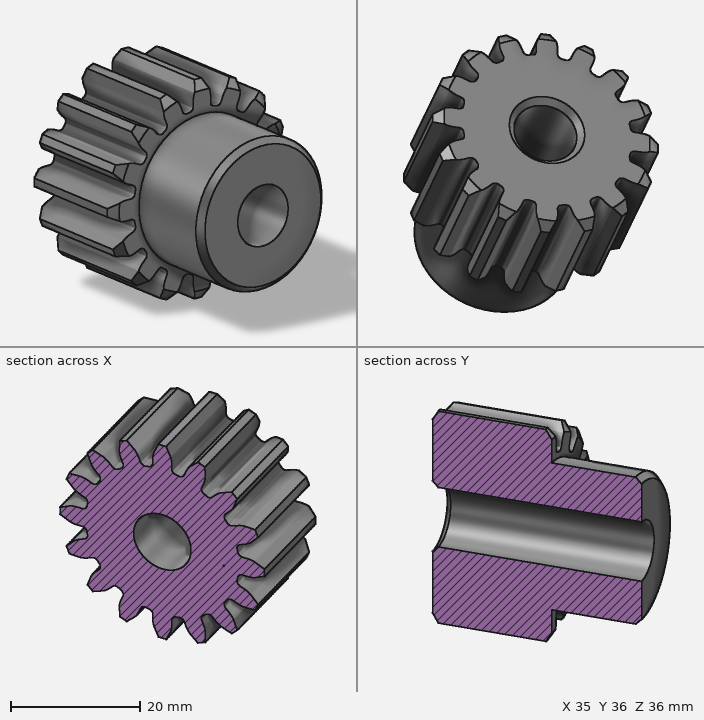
import cadquery as cq
import math


module = 2.0
tooth_count = 16
gear_width = 20.0
pitch_radius = module * tooth_count / 2
tip_radius = pitch_radius + module
dedendum = 1.25 * module
root_radius = pitch_radius - dedendum
tooth_pitch_angle = 2 * math.pi / tooth_count

tip_half_width = 0.69
shoulder_half_width = 1.5
shoulder_height = 16.25
base_half_width = 1.71
base_height = 15.0
root_fillet_radius = 0.8

bevel_length = 1.0
bevel_depth = 1.6

hub_radius = 12.5
hub_length = 15.0
hub_chamfer = 1.0

bore_radius = 5.0
bore_chamfer = 1.0

total_length = gear_width + hub_length


def place(point, tooth_angle):
    """Turn a (sideways, outward) tooth point into its position around the gear."""
    sideways, outward = point
    return (
        sideways * math.cos(tooth_angle) + outward * math.sin(tooth_angle),
        outward * math.cos(tooth_angle) - sideways * math.sin(tooth_angle),
    )


def mirrored(point):
    return (-point[0], point[1])


def on_circle(radius, angle):
    """Point at an angle measured clockwise from straight outward."""
    return (radius * math.sin(angle), radius * math.cos(angle))


tip_corner = (tip_half_width, math.sqrt(tip_radius**2 - tip_half_width**2))
tip_middle = (0, tip_radius)
shoulder = (shoulder_half_width, shoulder_height)
base = (base_half_width, base_height)

flank_run = base_half_width - shoulder_half_width
flank_rise = shoulder_height - base_height
flank_radius = (flank_run**2 + flank_rise**2) / (2 * flank_run)
flank_half_sweep = math.asin(flank_rise / flank_radius) / 2
flank_middle = (
    base_half_width - flank_radius * (1 - math.cos(flank_half_sweep)),
    base_height + flank_radius * math.sin(flank_half_sweep),
)

fillet_centre_x = base_half_width + root_fillet_radius
fillet_angle = math.asin(fillet_centre_x / (root_radius + root_fillet_radius))
fillet_centre_y = (root_radius + root_fillet_radius) * math.cos(fillet_angle)
fillet_half_sweep = (math.pi / 2 - fillet_angle) / 2
fillet_start = (base_half_width, fillet_centre_y)
fillet_middle = (
    fillet_centre_x - root_fillet_radius * math.cos(fillet_half_sweep),
    fillet_centre_y - root_fillet_radius * math.sin(fillet_half_sweep),
)
root_start = on_circle(root_radius, fillet_angle)
root_middle = on_circle(root_radius, tooth_pitch_angle / 2)


def make_toothed_blank():
    outline = cq.Workplane("YZ").moveTo(*mirrored(root_start))
    for tooth in range(tooth_count):
        angle = tooth * tooth_pitch_angle

        def at(point):
            return place(point, angle)

        outline = outline.threePointArc(at(mirrored(fillet_middle)), at(mirrored(fillet_start)))
        outline = outline.lineTo(*at(mirrored(base)))
        outline = outline.threePointArc(at(mirrored(flank_middle)), at(mirrored(shoulder)))
        outline = outline.lineTo(*at(mirrored(tip_corner)))
        outline = outline.threePointArc(at(tip_middle), at(tip_corner))
        outline = outline.lineTo(*at(shoulder))
        outline = outline.threePointArc(at(flank_middle), at(base))
        outline = outline.lineTo(*at(fillet_start))
        outline = outline.threePointArc(at(fillet_middle), at(root_start))

        next_root = place(mirrored(root_start), angle + tooth_pitch_angle)
        outline = outline.threePointArc(at(root_middle), next_root)
    return outline.close().extrude(gear_width)


def make_bevel_envelope():
    """Disc with both rims bevelled; it trims the ends of the teeth."""
    clearance = 1.0
    rim_radius = tip_radius + clearance
    rim_inset = bevel_length * (1 + clearance / bevel_depth)
    profile = [
        (0, 0),
        (0, tip_radius - bevel_depth),
        (rim_inset, rim_radius),
        (gear_width - rim_inset, rim_radius),
        (gear_width, tip_radius - bevel_depth),
        (gear_width, 0),
    ]
    return cq.Workplane("XY").polyline(profile).close().revolve(360, (0, 0, 0), (1, 0, 0))


def make_hub():
    hub = cq.Workplane("YZ").workplane(offset=gear_width).circle(hub_radius).extrude(hub_length)
    return hub.faces(">X").chamfer(hub_chamfer)


def make_bore():
    """Through hole, countersunk at the toothed end."""
    profile = [
        (0, 0),
        (0, bore_radius + bore_chamfer),
        (bore_chamfer, bore_radius),
        (total_length, bore_radius),
        (total_length, 0),
    ]
    return cq.Workplane("XY").polyline(profile).close().revolve(360, (0, 0, 0), (1, 0, 0))


gear = make_toothed_blank().intersect(make_bevel_envelope())
result = gear.union(make_hub()).cut(make_bore())